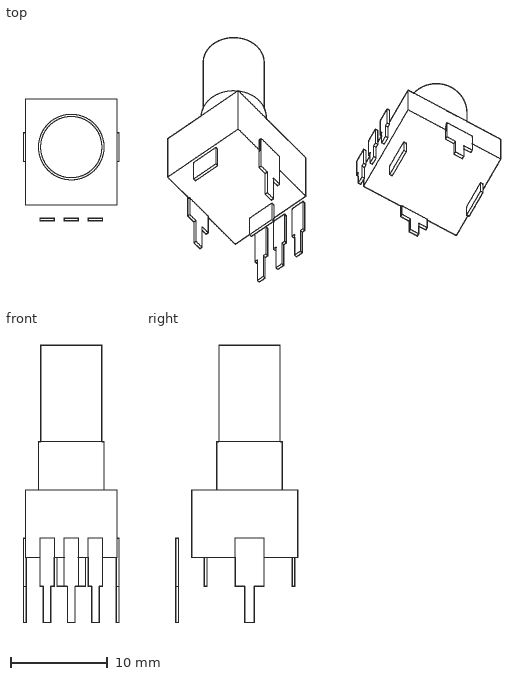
import cadquery as cq


housing_width = 9.5
housing_back = 5.0
housing_front = -6.0
housing_height = 7.0
bushing_diameter = 6.8
bushing_length = 5.0

shaft_diameter = 6.35
shaft_length = 10.0

sheet_thickness = 0.3
sheet_top = 2.0
shoulder_z = -3.0
tip_z = -6.75

terminal_count = 3
terminal_pitch = 2.5
terminal_y = -7.5
terminal_width = 1.5
terminal_tip_width = 0.8

lug_width = 3.0
lug_tip_width = 1.0
lug_span = 9.9
lug_x = (lug_span - sheet_thickness) / 2

tab_width = 3.0
tab_y = 4.55


def stepped_blade(width, tip_width):
    """Flat blade in the XZ plane, centred on Y = 0, with a narrower tip below its shoulders."""
    half_width = width / 2
    half_tip = tip_width / 2
    return (
        cq.Workplane("XZ")
        .moveTo(-half_width, sheet_top)
        .lineTo(half_width, sheet_top)
        .lineTo(half_width, shoulder_z)
        .lineTo(half_tip, shoulder_z)
        .lineTo(half_tip, tip_z)
        .lineTo(-half_tip, tip_z)
        .lineTo(-half_tip, shoulder_z)
        .lineTo(-half_width, shoulder_z)
        .close()
        .extrude(sheet_thickness / 2, both=True)
    )


def make_terminal(x):
    return stepped_blade(terminal_width, terminal_tip_width).translate((x, terminal_y, 0))


def make_side_lug(side):
    blade = stepped_blade(lug_width, lug_tip_width).rotate((0, 0, 0), (0, 0, 1), 90)
    return blade.translate((side * lug_x, 0, 0))


def make_locating_tab(side):
    return cq.Workplane("XY").center(0, side * tab_y).rect(tab_width, sheet_thickness).extrude(shoulder_z)


def make_housing(lugs):
    """Block with its bushing, recessed where the side lugs lie in its sides."""
    depth = housing_back - housing_front
    centre_y = (housing_back + housing_front) / 2
    block = cq.Workplane("XY").center(0, centre_y).rect(housing_width, depth).extrude(housing_height)
    bushing = (
        cq.Workplane("XY")
        .workplane(offset=housing_height)
        .circle(bushing_diameter / 2)
        .extrude(bushing_length)
    )
    body = block.union(bushing)
    for lug in lugs:
        body = body.cut(lug)
    return body


def make_shaft():
    """Plain shaft standing on the end of the bushing."""
    return (
        cq.Workplane("XY")
        .workplane(offset=housing_height + bushing_length)
        .circle(shaft_diameter / 2)
        .extrude(shaft_length)
    )


sides = (-1, 1)
first_terminal_x = -terminal_pitch * (terminal_count - 1) / 2

terminals = [make_terminal(first_terminal_x + i * terminal_pitch) for i in range(terminal_count)]
side_lugs = [make_side_lug(side) for side in sides]
locating_tabs = [make_locating_tab(side) for side in sides]
housing = make_housing(side_lugs)
shaft = make_shaft()

bodies = [housing, shaft, *terminals, *side_lugs, *locating_tabs]
result = cq.Compound.makeCompound([body.val() for body in bodies])